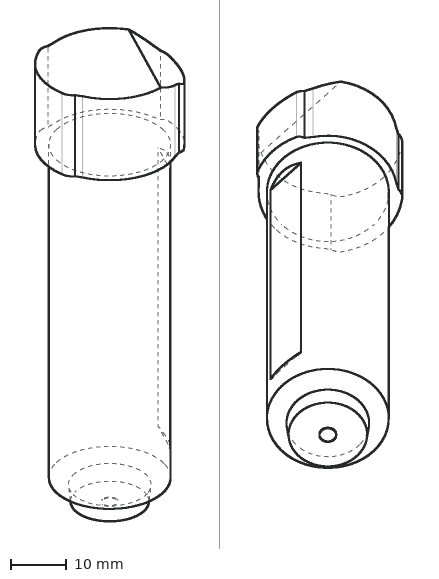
import cadquery as cq
import math

total_height = 92.0
head_bottom = 75.0
tube_bottom = 5.15
taper_bottom = 3.7
nose_bottom = 0.2

tube_radius = 22.0 / 2
nose_top_radius = 7.45
nose_bottom_radius = 7.1
tip_radius = 3.0 / 2

head_width = 25.0
head_depth = 27.0
head_radius = head_width / 2
lobe_radius = head_depth / 2
back_lobe_x = 5.2
back_corner_mid = (5.8, 11.9)
back_corner_end = (6.1, 11.2)
back_shoulder_y = 10.2
front_shoulder_y = -7.8
front_neck = (9.0, -9.0)
front_corner_mid = (8.65, -10.1)
front_lobe_x = 7.6

slope_start_y = 6.5
slope_drop = 3.8

flat_y = 10.2
flat_bottom = 12.0
flat_top = 70.3


def on_circle(radius, offset):
    """Positive other coordinate of a point on a circle about the axis."""
    return math.sqrt(radius**2 - offset**2)


def mirrored(point):
    return (-point[0], point[1])


def make_head():
    back_lobe_end = (back_lobe_x, on_circle(lobe_radius, back_lobe_x))
    back_shoulder = (on_circle(head_radius, back_shoulder_y), back_shoulder_y)
    front_shoulder = (on_circle(head_radius, front_shoulder_y), front_shoulder_y)
    front_lobe_end = (front_lobe_x, -on_circle(lobe_radius, front_lobe_x))
    head = (
        cq.Workplane("XY", origin=(0, 0, head_bottom))
        .moveTo(*mirrored(back_lobe_end))
        .threePointArc((0, lobe_radius), back_lobe_end)
        .threePointArc(back_corner_mid, back_corner_end)
        .lineTo(*back_shoulder)
        .threePointArc((head_radius, 0), front_shoulder)
        .lineTo(*front_neck)
        .threePointArc(front_corner_mid, front_lobe_end)
        .threePointArc((0, -lobe_radius), mirrored(front_lobe_end))
        .threePointArc(mirrored(front_corner_mid), mirrored(front_neck))
        .lineTo(*mirrored(front_shoulder))
        .threePointArc((-head_radius, 0), mirrored(back_shoulder))
        .lineTo(*mirrored(back_corner_end))
        .threePointArc(mirrored(back_corner_mid), mirrored(back_lobe_end))
        .close()
        .extrude(total_height - head_bottom)
    )
    wedge_scale = 2
    wedge_y = slope_start_y + wedge_scale * (lobe_radius - slope_start_y)
    wedge = (
        cq.Workplane("YZ")
        .moveTo(slope_start_y, total_height)
        .lineTo(wedge_y, total_height - wedge_scale * slope_drop)
        .lineTo(wedge_y, total_height)
        .close()
        .extrude(head_width, both=True)
    )
    return head.cut(wedge)


def make_lower_body():
    """Tube, conical taper, nose and tip turned about Z."""
    return (
        cq.Workplane("XZ")
        .moveTo(0, 0)
        .lineTo(tip_radius, 0)
        .lineTo(tip_radius, nose_bottom)
        .lineTo(nose_bottom_radius, nose_bottom)
        .lineTo(nose_top_radius, taper_bottom)
        .lineTo(tube_radius, tube_bottom)
        .lineTo(tube_radius, head_bottom)
        .lineTo(0, head_bottom)
        .close()
        .revolve(360, (0, 0), (0, 1))
    )


def make_flat_cutter():
    ramp = tube_radius - flat_y
    return (
        cq.Workplane("YZ")
        .moveTo(flat_y, flat_bottom)
        .lineTo(tube_radius, flat_bottom - ramp)
        .lineTo(tube_radius, flat_top + ramp)
        .lineTo(flat_y, flat_top)
        .close()
        .extrude(tube_radius, both=True)
    )


result = make_lower_body().cut(make_flat_cutter()).union(make_head())